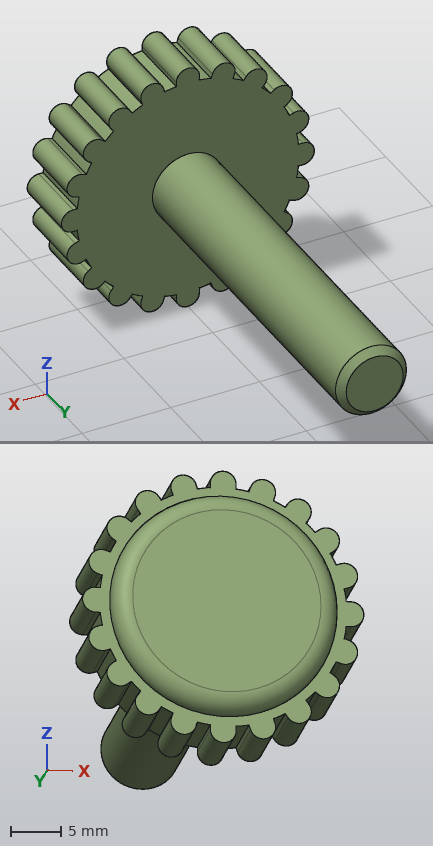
import cadquery as cq

total_length = 49.3
outer_diameter = 28.5

cap_height = 1.95
cap_diameter = 23.0

rim_height = 7.35
rib_count = 20
rib_diameter = 2.6
root_diameter = 25.05

shaft_diameter = 8.0
tip_chamfer = 0.8

cap_face_y = -total_length / 2
rim_start_y = cap_face_y + cap_height
shaft_start_y = rim_start_y + rim_height
shaft_length = total_length - cap_height - rim_height


def cylinder_along_y(diameter, start_y, length):
    """Cylinder on the Y axis, growing toward +Y from start_y."""
    return cq.Workplane("XZ", origin=(0, start_y, 0)).circle(diameter / 2).extrude(-length)


def make_cap():
    """Low disc whose front edge is rounded over its full height."""
    radius = cap_diameter / 2
    flat_radius = radius - cap_height
    arc_offset = cap_height * 0.5 ** 0.5
    return (
        cq.Workplane("XY")
        .moveTo(0, cap_face_y)
        .lineTo(flat_radius, cap_face_y)
        .threePointArc(
            (flat_radius + arc_offset, rim_start_y - arc_offset),
            (radius, rim_start_y),
        )
        .lineTo(0, rim_start_y)
        .close()
        .revolve(360, (0, 0, 0), (0, 1, 0))
    )


def make_rim():
    """Disc with straight-sided, round-topped grip ribs spaced evenly around its edge."""
    rib_radius = rib_diameter / 2
    tip_radius = outer_diameter / 2
    arc_centre_radius = tip_radius - rib_radius
    rib = (
        cq.Workplane("XZ", origin=(0, rim_start_y, 0))
        .moveTo(-rib_radius, cap_diameter / 2)
        .lineTo(-rib_radius, arc_centre_radius)
        .threePointArc((0, tip_radius), (rib_radius, arc_centre_radius))
        .lineTo(rib_radius, cap_diameter / 2)
        .close()
        .extrude(-rim_height)
    )
    rim = cylinder_along_y(root_diameter, rim_start_y, rim_height)
    for index in range(rib_count):
        rim = rim.union(rib.rotate((0, 0, 0), (0, 1, 0), index * 360 / rib_count))
    return rim


def make_shaft():
    """Plain shaft with a chamfered tip."""
    return cylinder_along_y(shaft_diameter, shaft_start_y, shaft_length).faces(">Y").chamfer(tip_chamfer)


result = make_rim().union(make_cap()).union(make_shaft())